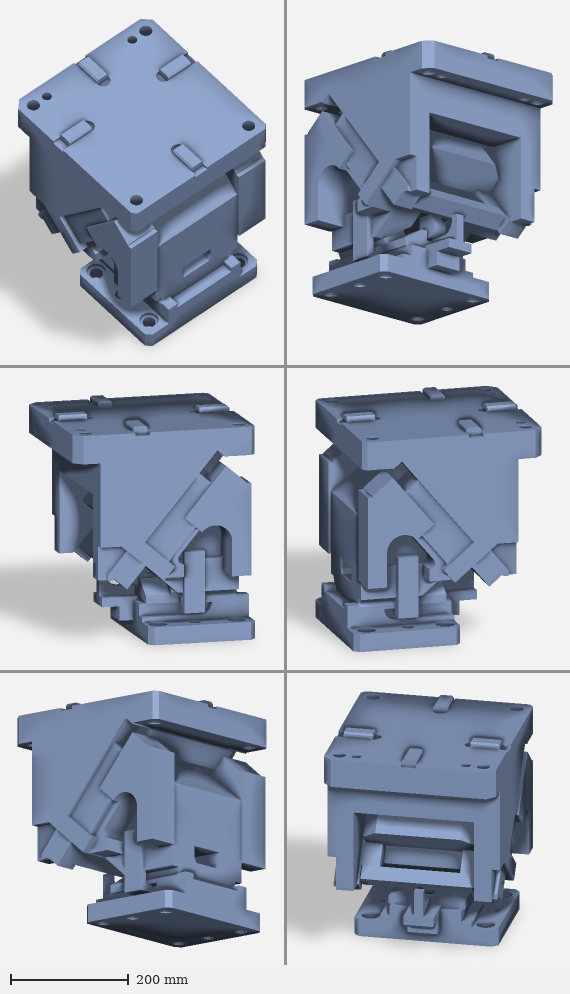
import cadquery as cq
import math


GUIDE_ANGLE = math.radians(50)
GUIDE_X = 127.0
GUIDE_Z = 142.0

RAIL_THICK = 30.0
RAIL_FRONT = -50.5
CROSSBAR_FRONT = -41.0
CROSSBAR_BACK = -16.5
BAR_FRONT = 24.0
SLOT_FRONT = 30.5
ACCESS_BACK = 105.0
RAIL_BACK = 180.5
STOP_FRONT = 191.5
WALL_BACK = 218.5
SLOT_BACK = 229.5
WING_THICK = 28.0
LIP_DEPTH = 40.0
TONGUE_BOTTOM = 23.5
BAR_BOTTOM = 32.5
CROSSBAR_TOP = 30.7
BUMP_TOP = 43.0
BAR_TOP = 86.8
BAR_CHAMFER = 25.0

PLATE_LENGTH = 320.0
HALF_WIDTH = 300.0 / 2
PLATE_BOTTOM = 326.0
PLATE_TOP = 375.0
FRONT_CHAMFER = 15.0
BACK_CHAMFER = 7.5
WALL_FRONT_X = 45.0
WALL_BACK_X = 312.0
WALL_SHOULDER_X = 303.5
WALL_SHOULDER_Z = 277.2
WALL_BOTTOM = 117.0
LEG_BOTTOM = 120.0
LEG_STEP_Z = 179.7
BUMP_X = 60.0
WINDOW_TOP = 264.0
LEG_OUTER_Y = 135.0
RAIL_OUTER_Y = 142.5
LIP_OUTER_Y = 132.0
WALL_INNER_Y = 105.2
RAIL_NOTCH_Y = 101.8
CROSSBAR_Y = 100.0
BAR_Y = 99.0
RAIL_INNER_Y = 70.0

ARCH_RADIUS = 30.0
ARCH_BOTTOM = 138.5
ARCH_FRONT_FILLET = 10.0
ARCH_BACK_FILLET = 5.0

BOLT_DIAMETER = 22.3
BOLT_FRONT_X = 25.7
BOLT_BACK_X = 296.5
BOLT_Y = 125.0
DOWEL_DIAMETER = 17.0
DOWEL_Y = 95.2

KEY_WIDTH = 25.5
KEY_LENGTH = 50.3
KEY_TOP = 384.0
KEY_CHAMFER = 3.0
KEYWAY_DEPTH = 5.5
KEY_INSET_X = 10.5
KEY_INSET_Y = 14.5
SIDE_KEY_X = 120.0

SLIDER_Y = 91.0
SLIDER_BACK_X = 307.2
SLIDER_BOTTOM = 81.8
POCKET_DEPTH = 10.0
LINER_FRONT_X = 192.0
LINER_THICK = 10.0
HOOK_X = 208.0
HOOK_LENGTH = 35.7
HOOK_BOTTOM = 47.0
HOOK_TOP = 153.5
HOOK_OUTER_Y = 100.5
HOOK_INNER_Y = 85.5
HOOK_TIP_Y = 70.0
CREST_SLOT_TOP = 125.5
NOSE_Y = 13.0
NOSE_FRONT_X = 134.5
NOSE_BACK_X = 161.0
NOSE_NECK_X = 171.5
NOSE_NECK_TOP = 130.5
NOSE_NECK_BOTTOM = 104.0
NOSE_BOTTOM = 84.5
NOSE_SHOULDER = (136.5, 110.0)
NOSE_ROUND_Z = 98.0
NOSE_ROUND_END_X = 146.5

BASE_FRONT_X = 138.5
BASE_BACK_X = 328.0
BASE_Y = 125.0
BASE_THICK = 31.0
BASE_CHAMFER = 9.2
SHELF_Z = 60.0
RIDGE_Y = 80.0
RIDGE_FRONT_X = 149.0
RIDGE_TOP = 96.8
RIDGE_TOP_Y = 27.5
ROOF_ANGLE = math.radians(30)
RIDGE_FRONT_Y = 66.5
RIDGE_WIDE_X = HOOK_X
NOTCH_Y = 17.0
NOTCH_BOTTOM = 79.0
NOTCH_BACK_X = 185.0
END_TOP = 70.0
END_RECESS_Y = 60.0
GROOVE_INNER_Y = 62.2
GROOVE_BOTTOM = 39.5
GROOVE_BACK_X = 262.5
BASE_BOLT_DIAMETER = 22.3
BASE_BORE_DIAMETER = 32.5
BASE_BORE_DEPTH = 6.0
BASE_DOWEL_DIAMETER = 21.0
BASE_HOLE_Y = 100.0
BASE_BOLT_X = (161.0, 300.0)
BASE_DOWEL_X = 226.5
CATCH_X = 83.5
CATCH_STEP_X = 113.5
CATCH_BACK_X = 145.5
CATCH_BOTTOM = 25.0
CATCH_STEP_Z = 50.0
CATCH_FOOT_TOP = 66.0
CATCH_SADDLE_Z = 81.5
CATCH_TOP = 113.3
CATCH_HORN_X = 96.0
CATCH_RADIUS = 23.0
CATCH_FOOT_Y = 26.0
CATCH_RIB_Y = 7.5


def guide_point(along, above):
    """XZ point of a position in the guide frame."""
    cos_a = math.cos(GUIDE_ANGLE)
    sin_a = math.sin(GUIDE_ANGLE)
    return (GUIDE_X + along * cos_a - above * sin_a, GUIDE_Z + along * sin_a + above * cos_a)


def above_at(above, z):
    """XZ point at height z on the line that runs along the guide at a given height above it."""
    return guide_point((z - GUIDE_Z - above * math.cos(GUIDE_ANGLE)) / math.sin(GUIDE_ANGLE), above)


def along_at(along, z):
    """XZ point at height z on the line square to the guide at a given position along it."""
    return guide_point(along, (z - GUIDE_Z - along * math.sin(GUIDE_ANGLE)) / math.cos(GUIDE_ANGLE))


def slope_back_z(along, x):
    """Height at x on the line square to the guide at a given position along it."""
    start_x, start_z = guide_point(along, 0)
    return start_z - (x - start_x) / math.tan(GUIDE_ANGLE)


def across(sketch, y0, y1):
    """Extrude an XZ outline from y0 to y1."""
    return sketch.extrude(y1 - y0).translate((0, y1, 0))


def prism(points, y0, y1):
    """Extrude a polygon in XZ from y0 to y1."""
    return across(cq.Workplane("XZ").polyline(points).close(), y0, y1)


def box(x0, x1, y0, y1, z0, z1):
    return cq.Workplane("XY").box(x1 - x0, y1 - y0, z1 - z0, centered=False).translate((x0, y0, z0))


def guide_block(along0, along1, above0, above1, y0, y1):
    """Block square to the guide frame."""
    corners = [(along0, above0), (along1, above0), (along1, above1), (along0, above1)]
    return prism([guide_point(*corner) for corner in corners], y0, y1)


def both_sides(shape):
    """A shape together with its mirror image across the XZ plane."""
    return shape.union(shape.mirror("XZ"))


def lengthwise(points, x0, x1):
    """Extrude a polygon in YZ from x0 to x1."""
    return cq.Workplane("YZ").polyline(points).close().extrude(x1 - x0).translate((x0, 0, 0))


def arch(y0, y1):
    center_x, center_z = guide_point(ACCESS_BACK, -LIP_DEPTH - ARCH_RADIUS)
    tangent = guide_point(ACCESS_BACK, -LIP_DEPTH)
    halfway = math.pi / 4 + GUIDE_ANGLE / 2
    crown = (center_x + ARCH_RADIUS * math.cos(halfway), center_z + ARCH_RADIUS * math.sin(halfway))
    right_x = center_x + ARCH_RADIUS
    outline = (
        cq.Workplane("XZ")
        .moveTo(*above_at(-LIP_DEPTH, ARCH_BOTTOM))
        .lineTo(*tangent)
        .threePointArc(crown, (right_x, center_z))
        .lineTo(right_x, ARCH_BOTTOM)
        .close()
    )
    window = across(outline, y0, y1)
    window = window.edges("|Y").edges("<X").fillet(ARCH_FRONT_FILLET)
    back_corner = cq.selectors.NearestToPointSelector((right_x, (y0 + y1) / 2, ARCH_BOTTOM))
    return window.edges(back_corner).fillet(ARCH_BACK_FILLET)


ARCH_BACK_X = guide_point(ACCESS_BACK, -LIP_DEPTH - ARCH_RADIUS)[0] + ARCH_RADIUS
ARCH_FLOOR_X = above_at(-LIP_DEPTH, ARCH_BOTTOM)[0] + ARCH_FRONT_FILLET / math.tan(GUIDE_ANGLE / 2)


def mounting_plate():
    plate = box(0, PLATE_LENGTH, -HALF_WIDTH, HALF_WIDTH, PLATE_BOTTOM, PLATE_TOP)
    plate = plate.edges("|Z and <X").chamfer(FRONT_CHAMFER)
    return plate.edges("|Z and >X").chamfer(BACK_CHAMFER)


def wall_block():
    """Outer wall outline and the narrower front leg, still solid across the full width."""
    wall = prism(
        [
            (WALL_FRONT_X, PLATE_BOTTOM),
            (WALL_FRONT_X, LEG_STEP_Z),
            along_at(0, LEG_STEP_Z),
            guide_point(0, -LIP_DEPTH),
            (guide_point(0, -LIP_DEPTH)[0], WALL_BOTTOM),
            (WALL_BACK_X, WALL_BOTTOM),
            (WALL_BACK_X, WALL_SHOULDER_Z),
            (WALL_SHOULDER_X, WALL_SHOULDER_Z),
            (WALL_SHOULDER_X, slope_back_z(WALL_BACK, WALL_SHOULDER_X)),
            guide_point(WALL_BACK, 0),
            (guide_point(WALL_BACK, 0)[0], PLATE_BOTTOM),
        ],
        -HALF_WIDTH,
        HALF_WIDTH,
    )
    leg = prism(
        [
            (WALL_FRONT_X, PLATE_BOTTOM),
            (WALL_FRONT_X, LEG_BOTTOM),
            above_at(RAIL_THICK, LEG_BOTTOM),
            above_at(RAIL_THICK, PLATE_BOTTOM),
        ],
        -LEG_OUTER_Y,
        LEG_OUTER_Y,
    )
    bump_front = (BUMP_X - GUIDE_X + BUMP_TOP * math.sin(GUIDE_ANGLE)) / math.cos(GUIDE_ANGLE)
    bump = prism(
        [
            (BUMP_X, LEG_BOTTOM),
            above_at(RAIL_THICK, LEG_BOTTOM),
            guide_point(0, RAIL_THICK),
            guide_point(0, BUMP_TOP),
            guide_point(bump_front, BUMP_TOP),
        ],
        -RAIL_OUTER_Y,
        RAIL_OUTER_Y,
    )
    return wall.union(leg).union(bump)


def wall_cavity():
    """Space between the walls, for the rails above and the slider with its wings below."""
    upper = prism(
        [
            (0, 0),
            (0, WINDOW_TOP),
            above_at(BAR_TOP, WINDOW_TOP),
            above_at(BAR_TOP, PLATE_BOTTOM),
            (BASE_BACK_X, PLATE_BOTTOM),
            guide_point(SLOT_BACK, 0),
            guide_point(RAIL_FRONT, 0),
        ],
        -WALL_INNER_Y,
        WALL_INNER_Y,
    )
    lower = prism(
        [
            guide_point(RAIL_FRONT, 0),
            guide_point(SLOT_BACK, 0),
            (BASE_BACK_X, guide_point(SLOT_BACK, 0)[1]),
            (BASE_BACK_X, 0),
            (0, 0),
        ],
        -SLIDER_Y,
        SLIDER_Y,
    )
    wings = guide_block(0, RAIL_BACK, -WING_THICK, 0, -RAIL_OUTER_Y, RAIL_OUTER_Y)
    return upper.union(lower).union(wings)


def wall_openings():
    slot = guide_block(SLOT_FRONT, SLOT_BACK, 0, RAIL_THICK, -HALF_WIDTH, HALF_WIDTH)
    doorway = box(ARCH_FLOOR_X, ARCH_BACK_X, -HALF_WIDTH, HALF_WIDTH, 0, ARCH_BOTTOM + ARCH_BACK_FILLET)
    center = guide_point(ACCESS_BACK, -LIP_DEPTH - ARCH_RADIUS)
    front_x = guide_point(0, -LIP_DEPTH)[0]
    access = prism(
        [
            guide_point(SLOT_FRONT, 0),
            guide_point(ACCESS_BACK, 0),
            guide_point(ACCESS_BACK, -LIP_DEPTH),
            center,
            (center[0], 0),
            (front_x, 0),
            guide_point(0, -LIP_DEPTH),
            guide_point(SLOT_FRONT, -LIP_DEPTH),
        ],
        LIP_OUTER_Y,
        HALF_WIDTH,
    )
    return slot.union(doorway).union(arch(-HALF_WIDTH, HALF_WIDTH)).union(both_sides(access))


def guide_parts():
    """Rails, the crossbar between them, the stop behind them and the chamfered bar above them."""
    outer = guide_block(RAIL_FRONT, RAIL_BACK, 0, RAIL_THICK, RAIL_NOTCH_Y, RAIL_OUTER_Y)
    inner = guide_block(CROSSBAR_BACK, RAIL_BACK, 0, RAIL_THICK, RAIL_INNER_Y, RAIL_NOTCH_Y)
    rails = both_sides(outer.union(inner))
    crossbar = guide_block(CROSSBAR_FRONT, CROSSBAR_BACK, 0, CROSSBAR_TOP, -CROSSBAR_Y, CROSSBAR_Y)
    stop = guide_block(STOP_FRONT, SLOT_BACK, 0, RAIL_THICK, -WALL_INNER_Y, WALL_INNER_Y)
    tongue = guide_block(BAR_FRONT, RAIL_BACK, TONGUE_BOTTOM, BAR_BOTTOM, -RAIL_INNER_Y, RAIL_INNER_Y)
    bar = guide_block(BAR_FRONT, SLOT_BACK, BAR_BOTTOM, BAR_TOP, -BAR_Y, BAR_Y)
    up = cq.Vector(-math.sin(GUIDE_ANGLE), 0, math.cos(GUIDE_ANGLE))
    bar = bar.faces(cq.selectors.DirectionMinMaxSelector(up)).edges("<Y or >Y").chamfer(BAR_CHAMFER)
    return rails.union(crossbar).union(stop).union(tongue).union(bar)


def keyway(inset):
    """Keyway along +X from the origin, with a round end beyond the key."""
    key_end = inset + KEY_LENGTH
    slot = box(0, key_end, -KEY_WIDTH / 2, KEY_WIDTH / 2, PLATE_TOP - KEYWAY_DEPTH, PLATE_TOP)
    end = cq.Workplane("XY").circle(KEY_WIDTH / 2).extrude(KEYWAY_DEPTH)
    return slot.union(end.translate((key_end, 0, PLATE_TOP - KEYWAY_DEPTH)))


def key(inset):
    """Key with two chamfered long edges, lying in the keyway."""
    bar = box(inset, inset + KEY_LENGTH, -KEY_WIDTH / 2, KEY_WIDTH / 2, PLATE_TOP - KEYWAY_DEPTH, KEY_TOP)
    return bar.edges("|X and >Z").chamfer(KEY_CHAMFER)


KEY_PLACES = [
    ((0, 0, 0), 0, KEY_INSET_X),
    ((PLATE_LENGTH, 0, 0), 180, KEY_INSET_X),
    ((SIDE_KEY_X, -HALF_WIDTH, 0), 90, KEY_INSET_Y),
    ((SIDE_KEY_X, HALF_WIDTH, 0), -90, KEY_INSET_Y),
]


def plate_holes():
    bolts = [(x, y) for x in (BOLT_FRONT_X, BOLT_BACK_X) for y in (-BOLT_Y, BOLT_Y)]
    dowels = [(BOLT_FRONT_X, -DOWEL_Y), (BOLT_FRONT_X, DOWEL_Y)]
    level = cq.Workplane("XY").workplane(offset=PLATE_BOTTOM)
    depth = PLATE_TOP - PLATE_BOTTOM
    bolt_holes = level.pushPoints(bolts).circle(BOLT_DIAMETER / 2).extrude(depth)
    return bolt_holes.union(level.pushPoints(dowels).circle(DOWEL_DIAMETER / 2).extrude(depth))


def make_hanger():
    walls = wall_block().cut(wall_cavity())
    body = walls.union(mounting_plate()).cut(wall_openings()).union(guide_parts()).cut(plate_holes())
    for place, turn, inset in KEY_PLACES:
        body = body.cut(keyway(inset).rotate((0, 0, 0), (0, 0, 1), turn).translate(place))
        body = body.union(key(inset).rotate((0, 0, 0), (0, 0, 1), turn).translate(place))
    return body


def roof_z(y, lift=0.0):
    """Height of the ridge slope at y, lifted square to the slope."""
    return RIDGE_TOP - (y - RIDGE_TOP_Y) * math.tan(ROOF_ANGLE) + lift / math.cos(ROOF_ANGLE)


def slider_block():
    block = prism(
        [
            guide_point(0, 0),
            along_at(0, SLIDER_BOTTOM),
            (SLIDER_BACK_X, SLIDER_BOTTOM),
            (SLIDER_BACK_X, slope_back_z(RAIL_BACK, SLIDER_BACK_X)),
            guide_point(RAIL_BACK, 0),
        ],
        -SLIDER_Y,
        SLIDER_Y,
    )
    wings = guide_block(0, RAIL_BACK, -WING_THICK, 0, -RAIL_OUTER_Y, RAIL_OUTER_Y)
    return block.union(wings)


def vee_cut():
    """Clearance over the ridge and its liners, with an upright slot at the crest."""
    slot_y = RIDGE_TOP_Y + LINER_THICK * math.sin(ROOF_ANGLE)
    return lengthwise(
        [
            (-BASE_Y, roof_z(BASE_Y, LINER_THICK)),
            (-slot_y, roof_z(slot_y, LINER_THICK)),
            (-slot_y, CREST_SLOT_TOP),
            (slot_y, CREST_SLOT_TOP),
            (slot_y, roof_z(slot_y, LINER_THICK)),
            (BASE_Y, roof_z(BASE_Y, LINER_THICK)),
        ],
        0,
        BASE_BACK_X,
    )


def liner():
    """Sliding strip between the vee of the slider and the +Y slope of the ridge."""
    lean = LINER_THICK * math.sin(ROOF_ANGLE)
    rise = LINER_THICK * math.cos(ROOF_ANGLE)
    foot_y = RIDGE_FRONT_Y + lean
    return lengthwise(
        [
            (RIDGE_TOP_Y, RIDGE_TOP),
            (RIDGE_TOP_Y + lean, RIDGE_TOP + rise),
            (foot_y + lean, roof_z(foot_y) + rise),
            (foot_y, roof_z(foot_y)),
        ],
        LINER_FRONT_X,
        SLIDER_BACK_X,
    )


def hook():
    """L-shaped plate on the +Y side that reaches under the ridge."""
    plate = box(HOOK_X, HOOK_X + HOOK_LENGTH, HOOK_INNER_Y, HOOK_OUTER_Y, HOOK_BOTTOM, HOOK_TOP)
    tip = box(HOOK_X, HOOK_X + HOOK_LENGTH, HOOK_TIP_Y, HOOK_OUTER_Y, HOOK_BOTTOM, SHELF_Z)
    return plate.union(tip)


def nose():
    """Round-fronted catch hanging from the roof of the crest slot."""
    outline = (
        cq.Workplane("XZ")
        .moveTo(*along_at(0, CREST_SLOT_TOP))
        .lineTo(*NOSE_SHOULDER)
        .threePointArc((NOSE_FRONT_X, NOSE_ROUND_Z), (NOSE_ROUND_END_X, NOSE_BOTTOM))
        .lineTo(NOSE_BACK_X, NOSE_BOTTOM)
        .lineTo(NOSE_BACK_X, NOSE_NECK_BOTTOM)
        .lineTo(NOSE_NECK_X, NOSE_NECK_BOTTOM)
        .lineTo(NOSE_NECK_X, NOSE_NECK_TOP)
        .close()
    )
    return across(outline, -NOSE_Y, NOSE_Y)


def make_slider():
    pocket = both_sides(arch(SLIDER_Y - POCKET_DEPTH, SLIDER_Y))
    body = slider_block().cut(vee_cut()).cut(pocket)
    return body.union(both_sides(liner())).union(both_sides(hook())).union(nose())


def base_plate():
    plate = box(BASE_FRONT_X, BASE_BACK_X, -BASE_Y, BASE_Y, 0, BASE_THICK).edges("|Z").chamfer(BASE_CHAMFER)
    bolts = [(x, y) for x in BASE_BOLT_X for y in (-BASE_HOLE_Y, BASE_HOLE_Y)]
    dowels = [(BASE_DOWEL_X, -BASE_HOLE_Y), (BASE_DOWEL_X, BASE_HOLE_Y)]
    floor = cq.Workplane("XY")
    top = floor.workplane(offset=BASE_THICK - BASE_BORE_DEPTH)
    plate = plate.cut(floor.pushPoints(bolts).circle(BASE_BOLT_DIAMETER / 2).extrude(BASE_THICK))
    plate = plate.cut(top.pushPoints(bolts).circle(BASE_BORE_DIAMETER / 2).extrude(BASE_BORE_DEPTH))
    return plate.cut(floor.pushPoints(dowels).circle(BASE_DOWEL_DIAMETER / 2).extrude(BASE_THICK))


def ridge():
    """Roof-shaped ridge, narrower in front, with a low block behind it."""
    shelf = box(BASE_FRONT_X, BASE_BACK_X, -RIDGE_Y, RIDGE_Y, BASE_THICK, SHELF_Z)
    end = box(SLIDER_BACK_X, BASE_BACK_X, -RIDGE_Y, RIDGE_Y, SHELF_Z, END_TOP)
    end_recess = box(SLIDER_BACK_X, BASE_BACK_X, -END_RECESS_Y, END_RECESS_Y, SHELF_Z, END_TOP)
    body = shelf.union(end.cut(end_recess))
    sections = [(RIDGE_FRONT_X, RIDGE_WIDE_X, RIDGE_FRONT_Y), (RIDGE_WIDE_X, SLIDER_BACK_X, RIDGE_Y)]
    for x0, x1, half in sections:
        outline = [
            (-half, SHELF_Z),
            (-half, roof_z(half)),
            (-RIDGE_TOP_Y, RIDGE_TOP),
            (RIDGE_TOP_Y, RIDGE_TOP),
            (half, roof_z(half)),
            (half, SHELF_Z),
        ]
        body = body.union(lengthwise(outline, x0, x1))
    return body.cut(ridge_notch())


def ridge_notch():
    """Round-ended notch for the slider nose in the front of the ridge."""
    round_x = NOTCH_BACK_X - NOTCH_Y
    straight = box(RIDGE_FRONT_X, round_x, -NOTCH_Y, NOTCH_Y, NOTCH_BOTTOM, RIDGE_TOP)
    end = cq.Workplane("XY").circle(NOTCH_Y).extrude(RIDGE_TOP - NOTCH_BOTTOM)
    return straight.union(end.translate((round_x, 0, NOTCH_BOTTOM)))


def hook_groove():
    """Groove under the +Y eave, ending in a quarter round."""
    radius = SHELF_Z - GROOVE_BOTTOM
    mid = radius * math.sqrt(0.5)
    center_x = GROOVE_BACK_X - radius
    outline = (
        cq.Workplane("XZ")
        .moveTo(BASE_FRONT_X, SHELF_Z)
        .lineTo(BASE_FRONT_X, GROOVE_BOTTOM)
        .lineTo(center_x, GROOVE_BOTTOM)
        .threePointArc((center_x + mid, SHELF_Z - mid), (GROOVE_BACK_X, SHELF_Z))
        .close()
    )
    return across(outline, GROOVE_INNER_Y, RIDGE_Y)


def catch():
    """Stepped foot in front of the base with an upright rib that ends in a horn."""
    foot = prism(
        [
            (CATCH_X, CATCH_FOOT_TOP),
            (CATCH_X, CATCH_STEP_Z),
            (CATCH_STEP_X, CATCH_STEP_Z),
            (CATCH_STEP_X, CATCH_BOTTOM),
            (CATCH_BACK_X, CATCH_BOTTOM),
            (CATCH_BACK_X, CATCH_FOOT_TOP),
        ],
        -CATCH_FOOT_Y,
        CATCH_FOOT_Y,
    )
    mid = CATCH_RADIUS * (1 - math.sqrt(0.5))
    rib = (
        cq.Workplane("XZ")
        .moveTo(CATCH_X, CATCH_FOOT_TOP)
        .lineTo(CATCH_X, CATCH_TOP)
        .lineTo(CATCH_HORN_X, CATCH_TOP)
        .lineTo(CATCH_HORN_X, CATCH_SADDLE_Z + CATCH_RADIUS)
        .threePointArc(
            (CATCH_HORN_X + mid, CATCH_SADDLE_Z + mid), (CATCH_HORN_X + CATCH_RADIUS, CATCH_SADDLE_Z)
        )
        .lineTo(CATCH_BACK_X, CATCH_SADDLE_Z)
        .lineTo(CATCH_BACK_X, CATCH_FOOT_TOP)
        .close()
    )
    return foot.union(across(rib, -CATCH_RIB_Y, CATCH_RIB_Y))


def make_base():
    return base_plate().union(ridge()).cut(both_sides(hook_groove())).union(catch())


hanger = make_hanger()
slider = make_slider()
base = make_base()

result = cq.Compound.makeCompound([hanger.val(), slider.val(), base.val()])